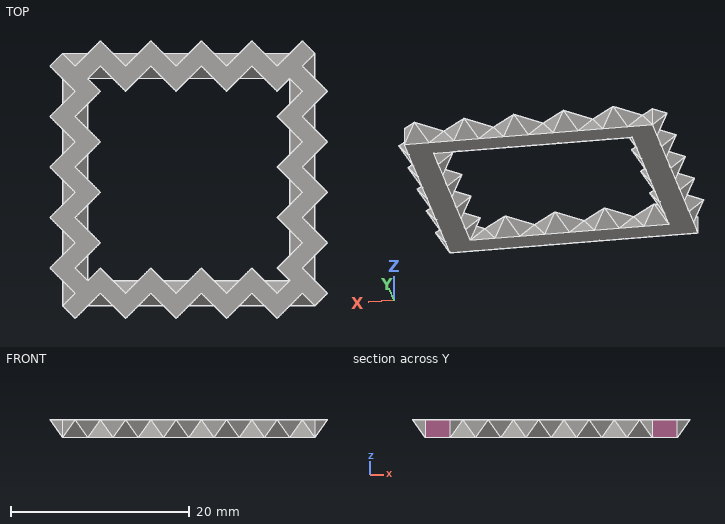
import cadquery as cq
import math

OUTER_SIZE = 31.12
CELLS_PER_SIDE = 10

CELL = OUTER_SIZE / (CELLS_PER_SIDE + 1)
HALF_CELL = CELL / 2
HEIGHT = CELL / math.sqrt(2)
FRAME_OUTER = CELLS_PER_SIDE * CELL
FRAME_INNER = FRAME_OUTER - 2 * CELL


def pyramid(center_x, wall_y, apex_y):
    """Pyramid on a full-height wall of one cell, with its apex level with the top face."""
    left = center_x - HALF_CELL
    right = center_x + HALF_CELL
    bottom_left = cq.Vector(left, wall_y, 0)
    bottom_right = cq.Vector(right, wall_y, 0)
    top_right = cq.Vector(right, wall_y, HEIGHT)
    top_left = cq.Vector(left, wall_y, HEIGHT)
    apex = cq.Vector(center_x, apex_y, HEIGHT)

    base = [bottom_left, bottom_right, top_right, top_left]
    outlines = [base]
    for start, end in zip(base, base[1:] + base[:1]):
        outlines.append([start, end, apex])

    faces = []
    for outline in outlines:
        wire = cq.Wire.makePolygon(outline, close=True)
        faces.append(cq.Face.makeFromWires(wire))
    return cq.Solid.makeSolid(cq.Shell.makeShell(faces))


def side_pyramids():
    """Spikes and notches of the -Y side; they alternate cell by cell on both walls."""
    outer_wall = -FRAME_OUTER / 2
    inner_wall = -FRAME_INNER / 2
    spikes = []
    notches = []
    for index in range(CELLS_PER_SIDE):
        center_x = (index + 0.5) * CELL - FRAME_OUTER / 2
        is_corner = index in (0, CELLS_PER_SIDE - 1)
        points_outward = index % 2 == 0
        shift = -HALF_CELL if points_outward else HALF_CELL

        on_outer_wall = pyramid(center_x, outer_wall, outer_wall + shift)
        (spikes if points_outward else notches).append(on_outer_wall)

        if not is_corner:
            on_inner_wall = pyramid(center_x, inner_wall, inner_wall + shift)
            (notches if points_outward else spikes).append(on_inner_wall)
    return spikes, notches


def around_frame(solids):
    """Copies of one side's solids on all four sides."""
    copies = []
    for quarter in range(4):
        for solid in solids:
            copies.append(solid.rotate(cq.Vector(0, 0, 0), cq.Vector(0, 0, 1), 90 * quarter))
    return copies


frame = (
    cq.Workplane("XY")
    .rect(FRAME_OUTER, FRAME_OUTER)
    .rect(FRAME_INNER, FRAME_INNER)
    .extrude(HEIGHT)
)

spikes, notches = side_pyramids()
body = frame.val().cut(*around_frame(notches))
body = body.fuse(*around_frame(spikes)).clean()

result = cq.Workplane("XY").newObject(body.Solids())